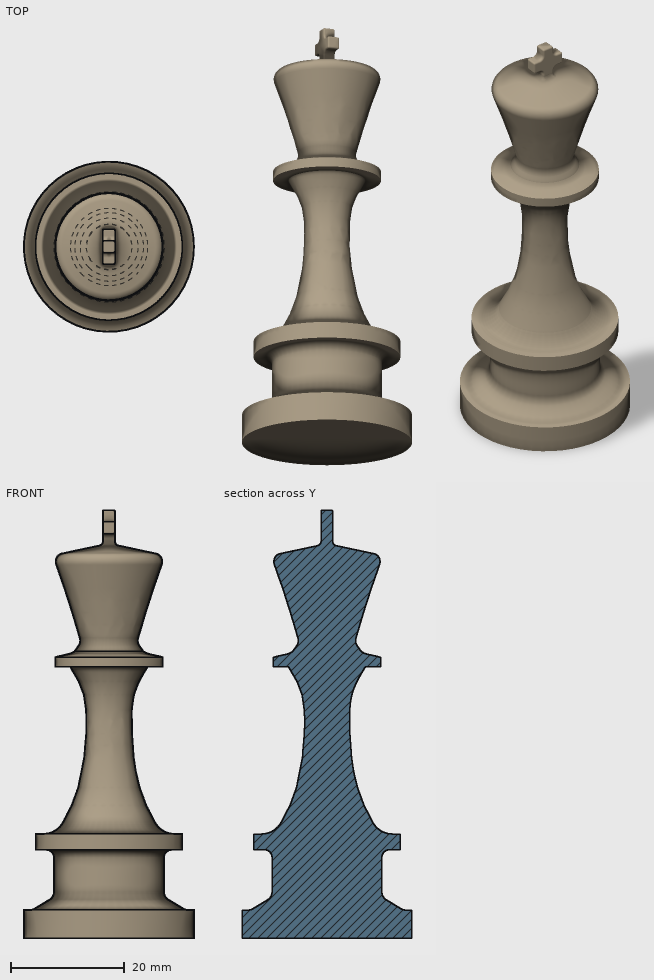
import cadquery as cq


BASE_RADIUS = 14.975
BASE_TOP = 5.0
TOE_OUTER_RADIUS = 13.96
SKIRT_BOTTOM = (13.0, 5.27)
SKIRT_TOP = (10.46, 6.8)

DRUM_RADIUS = 9.71
DRUM_BOTTOM = 8.16
DRUM_TOP_FILLET = 1.28

LOWER_COLLAR_RADIUS = 12.92
LOWER_COLLAR_BOTTOM = 15.55
LOWER_COLLAR_TOP = 18.4
STEM_FLARE_RADIUS = 11.5

STEM_BOTTOM = (8.1, 20.4)
STEM_WAIST = (4.05, 36.9)
UPPER_COLLAR_BOTTOM = 47.75
STEM_CURVE = [
    (4.93, 28.4),
    STEM_WAIST,
    (4.65, 43.6),
    (5.92, 46.3),
    (6.8, UPPER_COLLAR_BOTTOM),
]

UPPER_COLLAR_RADIUS = 9.495
UPPER_COLLAR_TOP = 49.42
COLLAR_CONE_BOTTOM = (8.97, 49.6)
COLLAR_CONE_TOP = (6.98, 50.05)
NECK_CONE_BOTTOM = (6.04, 50.5)
NECK_CONE_TOP = (5.4, 51.4)

HEAD_BOTTOM = (5.2, 53.0)
HEAD_MIDDLE = (7.13, 59.4)
HEAD_SHOULDER = (9.3, 65.75)
CROWN_EDGE = (8.1, 67.73)
CROWN_APEX = 69.45

CROSS_TOP = 75.33
CROSS_SPAN = 6.2
CROSS_BAR = 2.15
CROSS_CENTER = CROSS_TOP - CROSS_SPAN / 2
CROSS_ROOT = 68.0
CROSS_INNER_FILLET = 0.85
CROSS_EDGE_ROUND = 0.28
CROSS_FOOT_FILLET = 0.7


def make_body():
    """Revolve the turned profile about the Z axis."""
    profile = (
        cq.Workplane("XZ")
        .lineTo(BASE_RADIUS, 0)
        .lineTo(BASE_RADIUS, BASE_TOP)
        .lineTo(TOE_OUTER_RADIUS, BASE_TOP)
        .tangentArcPoint(SKIRT_BOTTOM, relative=False)
        .lineTo(*SKIRT_TOP)
        .tangentArcPoint((DRUM_RADIUS, DRUM_BOTTOM), relative=False)
        .lineTo(DRUM_RADIUS, LOWER_COLLAR_BOTTOM - DRUM_TOP_FILLET)
        .tangentArcPoint((DRUM_TOP_FILLET, DRUM_TOP_FILLET))
        .lineTo(LOWER_COLLAR_RADIUS, LOWER_COLLAR_BOTTOM)
        .lineTo(LOWER_COLLAR_RADIUS, LOWER_COLLAR_TOP)
        .lineTo(STEM_FLARE_RADIUS, LOWER_COLLAR_TOP)
        .tangentArcPoint(STEM_BOTTOM, relative=False)
        .spline(STEM_CURVE, includeCurrent=True)
        .lineTo(UPPER_COLLAR_RADIUS, UPPER_COLLAR_BOTTOM)
        .lineTo(UPPER_COLLAR_RADIUS, UPPER_COLLAR_TOP)
        .lineTo(*COLLAR_CONE_BOTTOM)
        .lineTo(*COLLAR_CONE_TOP)
        .tangentArcPoint(NECK_CONE_BOTTOM, relative=False)
        .lineTo(*NECK_CONE_TOP)
        .tangentArcPoint(HEAD_BOTTOM, relative=False)
        .threePointArc(HEAD_MIDDLE, HEAD_SHOULDER)
        .tangentArcPoint(CROWN_EDGE, relative=False)
        .lineTo(0, CROWN_APEX)
        .close()
    )
    return profile.revolve(360, (0, 0, 0), (0, 1, 0))


def make_cross():
    """Build the square-barred cross with hollowed inner corners and rounded outer edges."""
    upright_height = CROSS_TOP - CROSS_ROOT
    upright = (
        cq.Workplane("XY", origin=(0, 0, CROSS_TOP - upright_height / 2))
        .box(CROSS_BAR, CROSS_BAR, upright_height)
    )
    arms = cq.Workplane("XY", origin=(0, 0, CROSS_CENTER)).box(CROSS_BAR, CROSS_SPAN, CROSS_BAR)
    inner_low = (-CROSS_BAR, -CROSS_BAR, CROSS_CENTER - CROSS_BAR)
    inner_high = (CROSS_BAR, CROSS_BAR, CROSS_CENTER + CROSS_BAR)
    inner_corners = cq.selectors.BoxSelector(inner_low, inner_high)
    cross = upright.union(arms)
    cross = cross.edges("|X").edges(inner_corners).fillet(CROSS_INNER_FILLET)
    return cross.faces("<X or >X or <Y or >Y or >Z").edges().fillet(CROSS_EDGE_ROUND)


def blend_cross_foot(part):
    """Fillet the seam where the cross meets the crown."""
    low = (-CROSS_BAR, -CROSS_BAR, CROSS_ROOT)
    high = (CROSS_BAR, CROSS_BAR, CROWN_APEX)
    seam = part.edges(cq.selectors.BoxSelector(low, high)).edges("not |Z")
    return seam.fillet(CROSS_FOOT_FILLET)


result = blend_cross_foot(make_body().union(make_cross()))